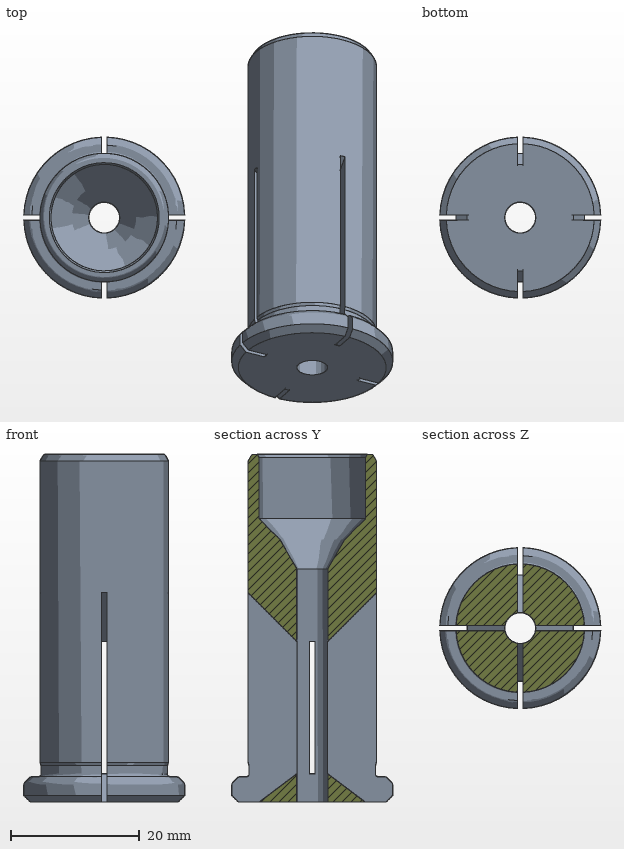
import cadquery as cq
import math

LENGTH = 54.0
BODY_RADIUS = 20.0 / 2
FLANGE_RADIUS = 25.0 / 2
FLANGE_HEIGHT = 3.95
FLANGE_CHAMFER = 1.0
FLANGE_ROUNDING = 0.55

NECK_RADIUS = 9.85
NECK_FILLET = 0.45
NECK_TOP = 5.65
BODY_BOTTOM = 6.15

RIM_HEIGHT = 1.0
RIM_TAPER_ANGLE = 30.0
RIM_ROUNDING = 0.45

MOUTH_RADIUS = 16.5 / 2
MOUTH_CHAMFER_HEIGHT = 0.5
MOUTH_CHAMFER_WIDTH = 0.25
MOUTH_DEPTH = 10.0
FUNNEL_RADIUS = 10.0 / 2
HOLE_RADIUS = 4.75 / 2
UPPER_FUNNEL_ANGLE = 45.0
LOWER_FUNNEL_ANGLE = 30.0

SLOT_COUNT = 4
SLOT_WIDTH = 0.8
SLOT_TOP = 32.5
SLOT_FLOOR_TOP = 4.45
SLOT_FLOOR_ANGLE = 37.0


def cone_height(large_radius, small_radius, half_angle):
    """Axial length of a cone between two radii."""
    return (large_radius - small_radius) / math.tan(math.radians(half_angle))


def ring_edges_at(height, radius):
    """Box selector for the full circular edge of this radius at this height."""
    margin = 0.005
    reach = radius + margin
    return cq.selectors.BoxSelector(
        (-reach, -reach, height - margin), (reach, reach, height + margin), boundingbox=True
    )


def make_flange():
    flange = cq.Workplane("XY").circle(FLANGE_RADIUS).extrude(FLANGE_HEIGHT)
    flange = flange.edges().chamfer(FLANGE_CHAMFER)
    shoulder_height = FLANGE_HEIGHT - FLANGE_CHAMFER
    flange = flange.edges(ring_edges_at(shoulder_height, FLANGE_RADIUS)).fillet(FLANGE_ROUNDING)
    return flange.faces(">Z").edges().fillet(FLANGE_ROUNDING)


def make_body():
    rim_base = LENGTH - RIM_HEIGHT
    rim_radius = BODY_RADIUS - RIM_HEIGHT * math.tan(math.radians(RIM_TAPER_ANGLE))
    fillet_radius = NECK_RADIUS + NECK_FILLET
    fillet_top = FLANGE_HEIGHT + NECK_FILLET
    fillet_reach = NECK_FILLET * (1 - math.sqrt(0.5))
    body = (
        cq.Workplane("XZ")
        .lineTo(fillet_radius, 0)
        .lineTo(fillet_radius, FLANGE_HEIGHT)
        .threePointArc(
            (NECK_RADIUS + fillet_reach, FLANGE_HEIGHT + fillet_reach),
            (NECK_RADIUS, fillet_top),
        )
        .lineTo(NECK_RADIUS, NECK_TOP)
        .lineTo(BODY_RADIUS, BODY_BOTTOM)
        .lineTo(BODY_RADIUS, rim_base)
        .lineTo(rim_radius, LENGTH)
        .lineTo(0, LENGTH)
        .close()
        .revolve(360, (0, 0), (0, 1))
    )
    return body.faces(">Z").edges().fillet(RIM_ROUNDING)


def make_bore():
    mouth_bottom = LENGTH - MOUTH_DEPTH
    funnel_middle = mouth_bottom - cone_height(MOUTH_RADIUS, FUNNEL_RADIUS, UPPER_FUNNEL_ANGLE)
    funnel_bottom = funnel_middle - cone_height(FUNNEL_RADIUS, HOLE_RADIUS, LOWER_FUNNEL_ANGLE)
    return (
        cq.Workplane("XZ")
        .lineTo(HOLE_RADIUS, 0)
        .lineTo(HOLE_RADIUS, funnel_bottom)
        .lineTo(FUNNEL_RADIUS, funnel_middle)
        .lineTo(MOUTH_RADIUS, mouth_bottom)
        .lineTo(MOUTH_RADIUS, LENGTH - MOUTH_CHAMFER_HEIGHT)
        .lineTo(MOUTH_RADIUS + MOUTH_CHAMFER_WIDTH, LENGTH)
        .lineTo(0, LENGTH)
        .close()
        .revolve(360, (0, 0), (0, 1))
    )


def make_slot():
    """Radial slot along +X, breaking into the through hole between its two sloping ends."""
    floor_bottom_radius = HOLE_RADIUS + SLOT_FLOOR_TOP / math.tan(math.radians(SLOT_FLOOR_ANGLE))
    opening_top = SLOT_TOP - (BODY_RADIUS - HOLE_RADIUS)
    top_at_flange_radius = SLOT_TOP + FLANGE_RADIUS - BODY_RADIUS
    inner_radius = HOLE_RADIUS - SLOT_WIDTH / 2
    return (
        cq.Workplane("XZ")
        .moveTo(floor_bottom_radius, 0)
        .lineTo(HOLE_RADIUS, SLOT_FLOOR_TOP)
        .lineTo(inner_radius, SLOT_FLOOR_TOP)
        .lineTo(inner_radius, opening_top)
        .lineTo(HOLE_RADIUS, opening_top)
        .lineTo(FLANGE_RADIUS, top_at_flange_radius)
        .lineTo(FLANGE_RADIUS, 0)
        .close()
        .extrude(SLOT_WIDTH / 2, both=True)
    )


result = make_flange().union(make_body()).cut(make_bore())
slot = make_slot()
for index in range(SLOT_COUNT):
    turn = index * 360 / SLOT_COUNT
    result = result.cut(slot.rotate((0, 0, 0), (0, 0, 1), turn))